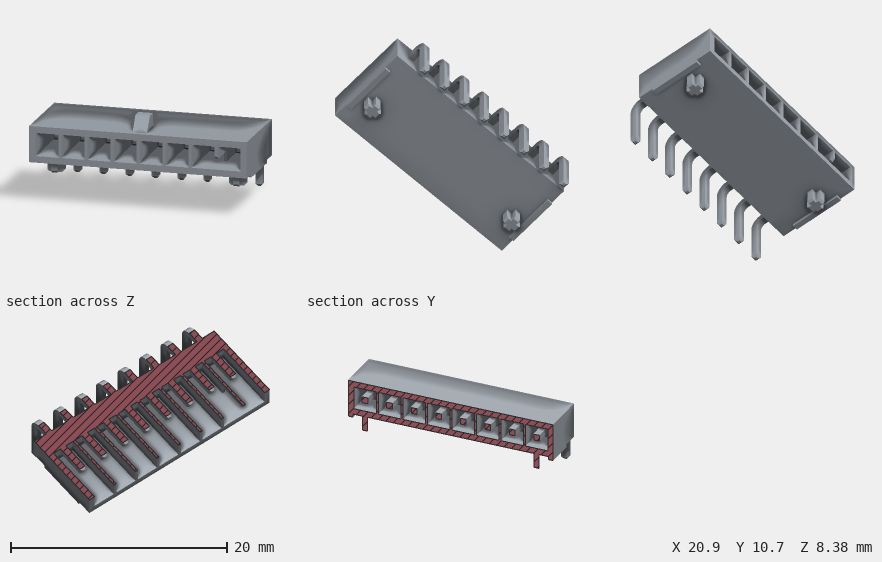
import cadquery as cq


body_length = 20.95
body_depth = 8.5
body_height = 3.48
mid_height = body_height / 2

contact_count = 8
row_span = 17.5
row_shift = 0.02
pitch = row_span / (contact_count - 1)
contact_places = [row_shift + i * pitch - row_span / 2 for i in range(contact_count)]

pocket_size = 2.22
pocket_bottom = mid_height - pocket_size / 2
pocket_depth = 6.28

notch_depth = pocket_depth / 2
notch_lead_length = 0.27
notch_lead_height = 0.25
notch_roof = mid_height - notch_lead_height / 2

pin_size = 0.65
pin_back = 10.7
pin_drop = 3.52
pin_tip_front = 3.15
bend_rise = 1.24
bend_run = 1.05
bend_inner_radius = bend_rise - pin_size
tip_length = 0.23
tip_flat = 0.27

latch_width = 1.38
latch_height = 1.38
latch_front = 0.65
latch_crest_front = 1.61
latch_crest_back = 2.64
latch_back = 3.12
latch_straight = 0.48

foot_width = 0.55
foot_height = 0.31
foot_front = 1.61
foot_length = 5.28

peg_width = 1.63
peg_rib = 0.57
peg_length = 1.55
peg_chamfer = 0.2
peg_place = 3.22
peg_spacing = 17.48


def box(x_center, width, y_start, y_end, z_start, z_end):
    """Box centred on x_center, given by its Y and Z limits."""
    depth = y_end - y_start
    height = z_end - z_start
    block = cq.Workplane("XY").box(width, depth, height, centered=(True, False, False))
    return block.translate((x_center, y_start, z_start))


def extrude_side_profile(profile, x_center, width):
    """Extrude a closed Y-Z profile along X, centred on x_center."""
    return profile.extrude(width / 2, both=True).translate((x_center, 0, 0))


def pocket(x):
    return box(x, pocket_size, 0, pocket_depth, pocket_bottom, pocket_bottom + pocket_size)


def partition_notch():
    """Opening between the last two pockets, its roof flared at the mating face."""
    profile = (
        cq.Workplane("YZ")
        .moveTo(0, pocket_bottom)
        .lineTo(notch_depth, pocket_bottom)
        .lineTo(notch_depth, notch_roof)
        .lineTo(notch_lead_length, notch_roof)
        .lineTo(0, notch_roof + notch_lead_height)
        .close()
    )
    return extrude_side_profile(profile, contact_places[-1] - pitch / 2, pitch - pocket_size)


def latch():
    """Locking ramp: sloped front, flat crest, straight back with a concave foot."""
    top = body_height + latch_height
    arc_start = top - latch_straight
    profile = (
        cq.Workplane("YZ")
        .moveTo(latch_front, body_height)
        .lineTo(latch_crest_front, top)
        .lineTo(latch_crest_back, top)
        .lineTo(latch_crest_back, arc_start)
        .tangentArcPoint((latch_back, body_height), relative=False)
        .close()
    )
    return extrude_side_profile(profile, 0, latch_width)


def foot(side):
    x = side * (body_length - foot_width) / 2
    return box(x, foot_width, foot_front, foot_front + foot_length, -foot_height, 0)


def peg(x):
    """Two crossed ribs, each with its lower ends chamfered."""
    rib = cq.Workplane("XY").box(peg_width, peg_rib, peg_length, centered=(True, True, False))
    rib = rib.faces("<Z").edges("|Y").chamfer(peg_chamfer)
    cross = rib.union(rib.rotate((0, 0, 0), (0, 0, 1), 90))
    return cross.translate((x, peg_place, -peg_length))


def tapered_tip():
    """Truncated pyramid pointing along +Z from the origin."""
    return (
        cq.Workplane("XY")
        .rect(pin_size, pin_size)
        .workplane(offset=tip_length)
        .rect(tip_flat, tip_flat)
        .loft(ruled=True)
    )


def pin(x):
    """Square wire from the pocket, through the back wall and bent down."""
    top = mid_height + pin_size / 2
    under = mid_height - pin_size / 2
    inner_back = pin_back - pin_size
    front_shoulder = pin_tip_front + tip_length
    lower_shoulder = tip_length - pin_drop
    profile = (
        cq.Workplane("YZ")
        .moveTo(front_shoulder, under)
        .lineTo(inner_back - bend_inner_radius, under)
        .tangentArcPoint((inner_back, under - bend_inner_radius), relative=False)
        .lineTo(inner_back, lower_shoulder)
        .lineTo(pin_back, lower_shoulder)
        .lineTo(pin_back, top - bend_rise)
        .tangentArcPoint((pin_back - bend_run, top), relative=False)
        .lineTo(front_shoulder, top)
        .close()
    )
    wire = extrude_side_profile(profile, x, pin_size)
    front_tip = tapered_tip().rotate((0, 0, 0), (1, 0, 0), 90).translate((x, front_shoulder, mid_height))
    lower_tip = tapered_tip().rotate((0, 0, 0), (1, 0, 0), 180)
    lower_tip = lower_tip.translate((x, pin_back - pin_size / 2, lower_shoulder))
    return wire.union(front_tip).union(lower_tip)


result = box(0, body_length, 0, body_depth, 0, body_height)
for place in contact_places:
    result = result.cut(pocket(place))
result = result.cut(partition_notch())

result = result.union(latch())
for side in (-1, 1):
    result = result.union(foot(side))
    result = result.union(peg(side * peg_spacing / 2))
for place in contact_places:
    result = result.union(pin(place))